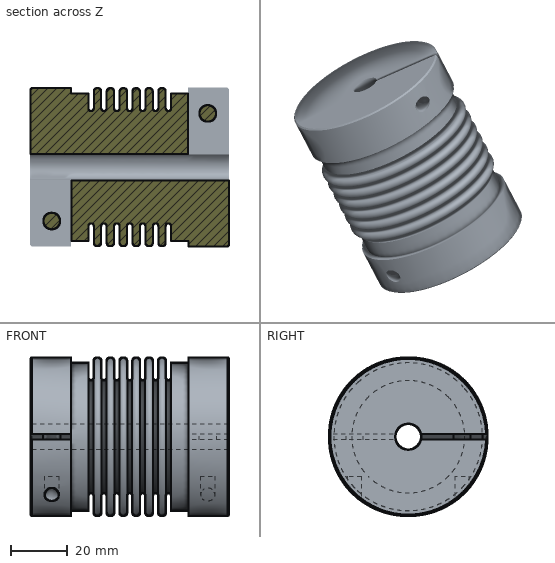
import cadquery as cq

length = 70.0
hub_diameter = 56.0
bore_diameter = 9.0

hub_length = 14.35
neck_diameter = 52.3
edge_chamfer = 0.5

crest_count = 6
crest_width = 2.8
valley_width = 1.75
root_radius = 19.9

slot_height = 1.9
screw_diameter = 6.0
screw_from_end = 7.5
screw_offset = 19.0
tapped_hole_diameter = 5.0
screw_tip_depth = 14.0

hub_radius = hub_diameter / 2
neck_radius = neck_diameter / 2
pitch = crest_width + valley_width
bellows_length = crest_count * pitch + valley_width
neck_end = (length - bellows_length) / 2


def valley(outline, start_x):
    """Concave half circle from start_x to the next wall, touching root_radius."""
    radius = valley_width / 2
    arc_height = root_radius + radius
    return outline.lineTo(start_x, arc_height).threePointArc(
        (start_x + radius, root_radius),
        (start_x + valley_width, arc_height),
    )


def crest(outline, start_x):
    """Straight walls closed by a convex half circle touching hub_radius."""
    radius = crest_width / 2
    arc_height = hub_radius - radius
    return outline.lineTo(start_x, arc_height).threePointArc(
        (start_x + radius, hub_radius),
        (start_x + crest_width, arc_height),
    )


def turned_body():
    """Hubs, necks and bellows revolved around X, with the bore left open."""
    bore_radius = bore_diameter / 2
    outline = (
        cq.Workplane("XY")
        .moveTo(0, bore_radius)
        .lineTo(0, hub_radius - edge_chamfer)
        .lineTo(edge_chamfer, hub_radius)
        .lineTo(hub_length, hub_radius)
        .lineTo(hub_length, neck_radius)
        .lineTo(neck_end, neck_radius)
    )
    for index in range(crest_count):
        start_x = neck_end + index * pitch
        outline = valley(outline, start_x)
        outline = crest(outline, start_x + valley_width)
    outline = valley(outline, neck_end + crest_count * pitch)
    outline = (
        outline.lineTo(length - neck_end, neck_radius)
        .lineTo(length - hub_length, neck_radius)
        .lineTo(length - hub_length, hub_radius)
        .lineTo(length - edge_chamfer, hub_radius)
        .lineTo(length, hub_radius - edge_chamfer)
        .lineTo(length, bore_radius)
        .close()
    )
    return outline.revolve(360, (0, 0, 0), (1, 0, 0))


def clamp_cut():
    """Left hub slot, bridged by the screw shank, and the tapped hole below it."""
    slot = cq.Workplane("XY", origin=(0, -hub_radius, 0)).box(
        hub_length, hub_radius, slot_height, centered=(False, False, True)
    )
    shank = (
        cq.Workplane("XY")
        .center(screw_from_end, -screw_offset)
        .circle(screw_diameter / 2)
        .extrude(slot_height / 2, both=True)
    )
    tapped_hole = (
        cq.Workplane("XY", origin=(screw_from_end, -screw_offset, -hub_radius))
        .circle(tapped_hole_diameter / 2)
        .extrude(hub_radius - screw_tip_depth)
    )
    return slot.cut(shank).union(tapped_hole)


left_clamp = clamp_cut()
right_clamp = left_clamp.rotate((length / 2, 0, 0), (length / 2, 0, 1), 180)

result = turned_body().cut(left_clamp).cut(right_clamp)